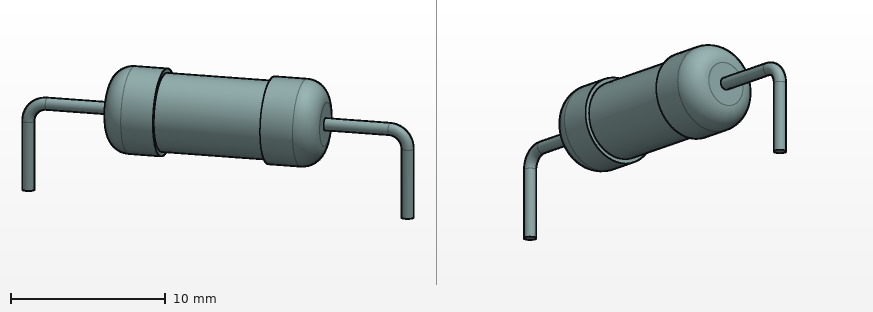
import cadquery as cq

overall_length = 26.2
overall_height = 8.7

body_length = 14.35
cap_diameter = 5.7
barrel_diameter = 5.14
cap_length = body_length / 4
cap_rounding = cap_diameter / 4

lead_diameter = 0.8
bend_radius = 1.5 * lead_diameter
lead_x = (overall_length - lead_diameter) / 2
lead_bottom_z = cap_diameter / 2 - overall_height


def make_body():
    """Barrel running between two wider end caps with rounded outer rims."""
    half_length = body_length / 2
    barrel = (
        cq.Workplane("YZ", origin=(-half_length, 0, 0))
        .circle(barrel_diameter / 2)
        .extrude(body_length)
    )
    left_cap = (
        cq.Workplane("YZ", origin=(-half_length, 0, 0))
        .circle(cap_diameter / 2)
        .extrude(cap_length)
        .faces("<X")
        .edges()
        .fillet(cap_rounding)
    )
    core_length = body_length - 2 * cap_rounding
    core_limits = cq.Workplane("XY").box(core_length, cap_diameter, cap_diameter)
    return barrel.intersect(core_limits).union(left_cap).union(left_cap.mirror("YZ"))


def make_leads():
    """One round wire through the body, bent down at both ends."""
    bend_x = lead_x - bend_radius
    path = (
        cq.Workplane("XZ")
        .moveTo(-lead_x, lead_bottom_z)
        .lineTo(-lead_x, -bend_radius)
        .tangentArcPoint((-bend_x, 0), relative=False)
        .lineTo(bend_x, 0)
        .tangentArcPoint((lead_x, -bend_radius), relative=False)
        .lineTo(lead_x, lead_bottom_z)
    )
    return (
        cq.Workplane("XY", origin=(-lead_x, 0, lead_bottom_z))
        .circle(lead_diameter / 2)
        .sweep(path)
    )


result = make_body().union(make_leads())